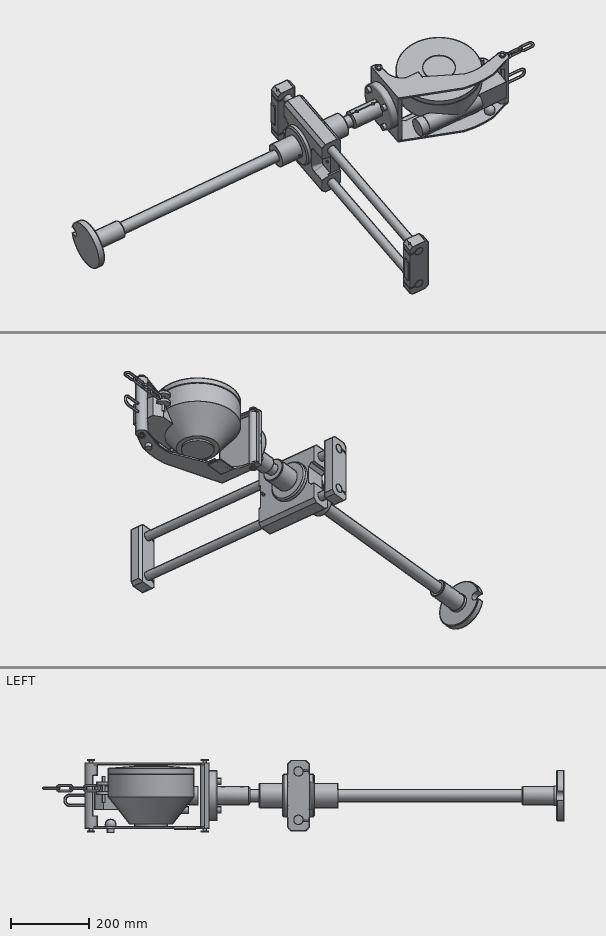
import cadquery as cq


SHAFT_R = 16
SHAFT_TOP = 180
FOOT_END = -679.65
FOOT_R = 64.5
FOOT_T = 18
FOOT_EDGE_CHAMFER = 2
FOOT_SLOT_W = 24
FOOT_SLOT_X = -55
FOOT_COLLAR_R = 23.5
FOOT_COLLAR_TOP = -573
FOOT_COLLAR_CHAMFER = 2
FOOT_RING_R = 25
FOOT_RING_TOP = -654

FRAME_X0 = -136.5
FRAME_LENGTH = 660
ROD_R = 12
ROD_Z = 62
ROD_END_RECESS = 1
CLAMP_W = 31
CLAMP_DEPTH = 56
CLAMP_H = 180
CLAMP_CHAMFER = 9
CLAMP_INNER_CHAMFER = 7
CLAMP_SLIT_T = 4
CLAMP_SLIT_Z = 64
CLAMP_SCREW_R = 3
CLAMP_SCREW_Y = -19
PAD_W = 17
PAD_H = 70
PAD_T = 4
PAD_INSET = 3

BLOCK_X0 = -76
BLOCK_X1 = 105
BLOCK_DEPTH = 56
BLOCK_H = 180
BLOCK_CHAMFER = 10
FLANGE_R = 55
FLANGE_T = 13
FLANGE_CHAMFER = 4
BUSH_R = 31.5
BUSH_END = 101
BUSH_CHAMFER = 2
NIPPLE_Y = 50
NIPPLE_R = 3
NIPPLE_TIP = 36
NOTCH_DEPTH = 18
NOTCH_H = 68
NOTCH_CHAMFER = 9
POCKET_X0 = 55
POCKET_OVERRUN = 40
POCKET_H = 82
POCKET_TAPER = 16
POCKET_DEPTH = 28
POCKET_R = 12
RECESS_W = 5
RECESS_H = 70
STUD_X = 88
STUD_R = 3
STUD_START = -3
STUD_TIP = 37

PLATE_T = 5
PLATE_Z = 84
BASE_Y = 229
BASE_T = 11
BASE_HALF_W = 64.5
PIVOT_X = -46
PIVOT_Y = 240
PIVOT_R = 11
POST_X = 87
POST_Y = 531
POST_R = 16
POST_NOTCH_HALF_H = 52
POST_NOTCH_DEPTH = 12

ARM_CORNER_MID = (-59, 247)
ARM_CORNER_END = (-50, 250)
ARM_FOOT_START = (-21, 252)
ARM_FOOT_MID = (0, 262)
ARM_FOOT_END = (16, 284)
ARM_STEP_X = 36
ARM_STEP_Y = 321
ARM_INNER_START = (85, 416)
ARM_INNER_MID = (89, 447)
ARM_INNER_END = (85, 476)
ARM_OUTER_START = (125, 479)
ARM_OUTER_MID = (129, 430)
ARM_OUTER_END = (125, 390)

BOLT_STEM_R = 5
BOLT_HEAD_R = 9
BOLT_TIP = 93
BOLT_HEAD_T = 2.5
DISC_R = 64
DISC_T = 21
DISC_FILLET = 3
SCREW_OFFSET = 36.5
SCREW_R = 8.5
SCREW_H = 10
SOCKET_R = 23.5
SOCKET_END = 124
SOCKET_CHAMFER = 4
SOCKET_SLIT_W = 2
PINCH_HOLES_Y = (193, 144)
PINCH_HOLE_R = 4
KNOB_X = 105
KNOB_Y = 481
KNOB_R = 14
KNOB_BUTTON_R = 9
KNOB_CENTRE_Z = -74.5
KNOB_BOTTOM = -95
UNDER_PAD_W = 40
UNDER_PAD_L = 54
UNDER_PAD_T = 3
UNDER_PAD_CENTRE = (20, 291)
SHACKLE_TIP = 601
SHACKLE_WIRE_R = 3
SHACKLE_HALF_W = 13
SHACKLE_Z = -12

REEL_X = 26
REEL_Y = 377.5
REEL_R = 110
REEL_HUB_R = 42
REEL_CONE_R = 55
REEL_FOOT_R = 42
REEL_COVER_SEAM_Z = 54
REEL_SEAM_W = 1.5
REEL_SEAM_DEPTH = 1
REEL_TOP_Z = 70
REEL_COVER_TOP_Z = 75
REEL_HUB_Z = 77
REEL_SHOULDER_Z = -3
REEL_CONE_Z = -73
HOUSING_X0 = 57
HOUSING_X1 = 121
HOUSING_Y1 = 522
HOUSING_Z0 = -36
HOUSING_Z1 = 25
PIPE_X = 113.5
PIPE_R = 23
PIPE_Y0 = 257
PIPE_Y1 = 440
PIPE_CAP_R = 24
PIPE_CAP_H = 22
STUB_X = 108
STUB_Y0 = 281
STUB_R = 9
STUB_Z = -37
LUG_X = 41.5
LUG_Y = 499
LUG_R = 18
LUG_Z0 = 3
LUG_Z1 = 35
LUG_GAP = 16
LUG_PIN_R = 4
LUG_PIN_Z0 = -17
LUG_PIN_Z1 = 49

CHAIN_Z = 19
OVERALL_LENGTH = 1334.65
CHAIN_TIP = FOOT_END + OVERALL_LENGTH
LINK_COUNT = 4
LINK_LENGTH = 44
LINK_W = 20
LINK_WIRE_R = 2.75
LINK_BITE = 1.5


def cylinder_x(radius, x0, x1, y=0, z=0):
    return cq.Workplane("YZ", origin=(x0, y, z)).circle(radius).extrude(x1 - x0)


def cylinder_y(radius, y0, y1, x=0, z=0):
    return cq.Workplane("XZ", origin=(x, y0, z)).circle(radius).extrude(y0 - y1)


def cylinder_z(radius, z0, z1, x=0, y=0):
    return cq.Workplane("XY", origin=(x, y, z0)).circle(radius).extrude(z1 - z0)


def box(x0, x1, y0, y1, z0, z1):
    return cq.Workplane("XY").box(x1 - x0, y1 - y0, z1 - z0, centered=False).translate((x0, y0, z0))


def make_shaft():
    disc_top = FOOT_END + FOOT_T
    shaft = cylinder_y(SHAFT_R, FOOT_END, SHAFT_TOP)
    collar = cylinder_y(FOOT_COLLAR_R, FOOT_END, FOOT_COLLAR_TOP).faces(">Y").chamfer(FOOT_COLLAR_CHAMFER)
    disc = cylinder_y(FOOT_R, FOOT_END, disc_top).faces(">Y").chamfer(FOOT_EDGE_CHAMFER)
    slot = cylinder_y(FOOT_SLOT_W / 2, FOOT_END, disc_top, x=FOOT_SLOT_X)
    slot = slot.union(
        box(-FOOT_R, FOOT_SLOT_X, FOOT_END, disc_top, -FOOT_SLOT_W / 2, FOOT_SLOT_W / 2)
    )
    ring = cylinder_y(FOOT_RING_R, FOOT_END, FOOT_RING_TOP)
    return disc.cut(slot).union(ring).union(collar).union(shaft)


def make_clamp():
    """End clamp at the -X end of the rods."""
    outer_x = FRAME_X0
    inner_x = outer_x + CLAMP_W
    front_y = -CLAMP_DEPTH / 2
    clamp = box(outer_x, inner_x, front_y, -front_y, -CLAMP_H / 2, CLAMP_H / 2)
    clamp = clamp.edges("|X").chamfer(CLAMP_CHAMFER)
    clamp = clamp.edges("|Z and >X and >Y").chamfer(CLAMP_INNER_CHAMFER)
    for side in (1, -1):
        slit_z = side * CLAMP_SLIT_Z
        slit = box(outer_x, inner_x, front_y, 0, slit_z - CLAMP_SLIT_T / 2, slit_z + CLAMP_SLIT_T / 2)
        screw_hole = cylinder_z(
            CLAMP_SCREW_R, slit_z, side * CLAMP_H / 2, outer_x + CLAMP_W / 2, CLAMP_SCREW_Y
        )
        clamp = clamp.cut(slit).cut(screw_hole)
    pad_x = outer_x + PAD_INSET
    pad = box(pad_x, pad_x + PAD_W, front_y - PAD_T, front_y, -PAD_H / 2, PAD_H / 2)
    return clamp.union(pad)


def make_frame():
    frame_x1 = FRAME_X0 + FRAME_LENGTH
    clamp = make_clamp()
    frame = clamp.union(clamp.mirror("YZ").translate((FRAME_X0 + frame_x1, 0, 0)))
    for side in (1, -1):
        rod_z = side * ROD_Z
        frame = frame.cut(cylinder_x(ROD_R, FRAME_X0, frame_x1, z=rod_z))
        rod = cylinder_x(ROD_R, FRAME_X0 + ROD_END_RECESS, frame_x1 - ROD_END_RECESS, z=rod_z)
        frame = frame.union(rod)
    return frame


def make_carriage():
    face_y = BLOCK_DEPTH / 2
    block = box(BLOCK_X0, BLOCK_X1, -face_y, face_y, -BLOCK_H / 2, BLOCK_H / 2)
    block = block.edges("|X").chamfer(BLOCK_CHAMFER)

    notch_x1 = BLOCK_X0 + NOTCH_DEPTH
    notch = box(BLOCK_X0, notch_x1, -face_y, face_y, -NOTCH_H / 2, NOTCH_H / 2)
    notch = notch.edges("|Y and >X").chamfer(NOTCH_CHAMFER)

    pocket_length = BLOCK_X1 - POCKET_X0 + POCKET_OVERRUN
    pocket = (
        cq.Workplane("XZ", origin=(POCKET_X0 + pocket_length / 2, -face_y, 0))
        .sketch()
        .rect(pocket_length, POCKET_H)
        .vertices()
        .fillet(POCKET_R)
        .finalize()
        .extrude(-POCKET_DEPTH, taper=POCKET_TAPER)
    )
    recess = box(BLOCK_X1 - RECESS_W, BLOCK_X1, -face_y, face_y, -RECESS_H / 2, RECESS_H / 2)
    carriage = block.cut(notch).cut(pocket).cut(recess)
    carriage = carriage.union(cylinder_y(STUD_R, STUD_START, STUD_TIP, x=STUD_X))

    flange_y = face_y + FLANGE_T
    flange = cylinder_y(FLANGE_R, -flange_y, flange_y).faces("<Y or >Y").chamfer(FLANGE_CHAMFER)
    bush = cylinder_y(BUSH_R, -BUSH_END, BUSH_END).faces(">Y").chamfer(BUSH_CHAMFER)
    carriage = carriage.union(flange).union(bush)
    for y in (-NIPPLE_Y, NIPPLE_Y):
        carriage = carriage.union(cylinder_x(NIPPLE_R, 0, NIPPLE_TIP, y=y))

    carriage = carriage.cut(cylinder_y(SHAFT_R, -BUSH_END, BUSH_END))
    for side in (1, -1):
        carriage = carriage.cut(cylinder_x(ROD_R, BLOCK_X0, BLOCK_X1, z=side * ROD_Z))
    return carriage


def make_side_plate():
    """Curved arm plate whose lower face is at Z = 0."""
    outline = (
        cq.Workplane("XY")
        .moveTo(-BASE_HALF_W, BASE_Y)
        .lineTo(-BASE_HALF_W, PIVOT_Y)
        .threePointArc(ARM_CORNER_MID, ARM_CORNER_END)
        .lineTo(*ARM_FOOT_START)
        .threePointArc(ARM_FOOT_MID, ARM_FOOT_END)
        .lineTo(ARM_FOOT_END[0], ARM_STEP_Y)
        .lineTo(ARM_STEP_X, ARM_STEP_Y)
        .lineTo(*ARM_INNER_START)
        .threePointArc(ARM_INNER_MID, ARM_INNER_END)
        .lineTo(POST_X - POST_R, POST_Y)
        .threePointArc((POST_X, POST_Y + POST_R), (POST_X + POST_R, POST_Y))
        .lineTo(*ARM_OUTER_START)
        .threePointArc(ARM_OUTER_MID, ARM_OUTER_END)
        .lineTo(BASE_HALF_W, BASE_Y)
        .close()
    )
    return outline.extrude(PLATE_T)


def make_through_bolt(x, y):
    """Bolt with a flat head beyond each side plate."""
    bolt = cylinder_z(BOLT_STEM_R, -BOLT_TIP, BOLT_TIP, x, y)
    for z0 in (-BOLT_TIP, BOLT_TIP - BOLT_HEAD_T):
        bolt = bolt.union(cylinder_z(BOLT_HEAD_R, z0, z0 + BOLT_HEAD_T, x, y))
    return bolt


def make_post():
    """Rear spacer post, cut back between its two ends."""
    post = cylinder_z(POST_R, -PLATE_Z, PLATE_Z, POST_X, POST_Y)
    notch = box(
        POST_X - POST_R,
        POST_X + POST_R,
        POST_Y - POST_R,
        POST_Y - POST_R + POST_NOTCH_DEPTH,
        -POST_NOTCH_HALF_H,
        POST_NOTCH_HALF_H,
    )
    return post.cut(notch)


def make_shackle():
    """U-shaped wire that starts inside the rear post."""
    arc_y = SHACKLE_TIP - SHACKLE_WIRE_R - SHACKLE_HALF_W
    path = (
        cq.Workplane("YZ", origin=(POST_X, 0, 0))
        .moveTo(POST_Y, SHACKLE_Z + SHACKLE_HALF_W)
        .lineTo(arc_y, SHACKLE_Z + SHACKLE_HALF_W)
        .threePointArc((arc_y + SHACKLE_HALF_W, SHACKLE_Z), (arc_y, SHACKLE_Z - SHACKLE_HALF_W))
        .lineTo(POST_Y, SHACKLE_Z - SHACKLE_HALF_W)
    )
    profile = cq.Workplane("XZ", origin=(POST_X, POST_Y, SHACKLE_Z + SHACKLE_HALF_W))
    return profile.circle(SHACKLE_WIRE_R).sweep(path)


def make_shaft_socket():
    """Disc, screws and split socket that hold the shaft, below the base plate."""
    disc_y = BASE_Y - DISC_T
    socket = cylinder_y(DISC_R, disc_y, BASE_Y).faces("<Y").edges().fillet(DISC_FILLET)
    for x in (-SCREW_OFFSET, SCREW_OFFSET):
        for z in (-SCREW_OFFSET, SCREW_OFFSET):
            socket = socket.union(cylinder_y(SCREW_R, disc_y - SCREW_H, disc_y, x, z))
    sleeve = cylinder_y(SOCKET_R, SOCKET_END, disc_y).faces("<Y").chamfer(SOCKET_CHAMFER)
    slit = box(-SOCKET_SLIT_W / 2, SOCKET_SLIT_W / 2, SOCKET_END, disc_y, 0, SOCKET_R)
    sleeve = sleeve.cut(slit)
    for y in PINCH_HOLES_Y:
        sleeve = sleeve.cut(cylinder_z(PINCH_HOLE_R, 0, SOCKET_R, 0, y))
    return socket.union(sleeve).cut(cylinder_y(SHAFT_R, SOCKET_END, SHAFT_TOP))


def make_bracket():
    plate = make_side_plate()
    base = box(-BASE_HALF_W, BASE_HALF_W, BASE_Y, BASE_Y + BASE_T, -PLATE_Z, PLATE_Z)
    bracket = base.union(plate.translate((0, 0, PLATE_Z - PLATE_T)))
    bracket = bracket.union(plate.translate((0, 0, -PLATE_Z)))
    bracket = bracket.union(cylinder_z(PIVOT_R, -PLATE_Z, PLATE_Z, PIVOT_X, PIVOT_Y))
    bracket = bracket.union(make_post())
    for x, y in ((PIVOT_X, PIVOT_Y), (POST_X, POST_Y)):
        bracket = bracket.union(make_through_bolt(x, y))

    dome = cq.Workplane("XY").sphere(KNOB_R).translate((KNOB_X, KNOB_Y, KNOB_CENTRE_Z))
    dome = dome.intersect(
        box(KNOB_X - KNOB_R, KNOB_X + KNOB_R, KNOB_Y - KNOB_R, KNOB_Y + KNOB_R, -PLATE_Z, 0)
    )
    bracket = bracket.union(dome)
    bracket = bracket.union(cylinder_z(KNOB_BUTTON_R, KNOB_BOTTOM, -PLATE_Z, KNOB_X, KNOB_Y))
    pad = cq.Workplane("XY").box(UNDER_PAD_W, UNDER_PAD_L, UNDER_PAD_T)
    bracket = bracket.union(pad.translate((*UNDER_PAD_CENTRE, -PLATE_Z - UNDER_PAD_T / 2)))

    return bracket.union(make_shackle()).union(make_shaft_socket())


def make_link():
    """Chain link in the XY plane, long in Y, centred on the origin."""
    bend_r = LINK_W / 2 - LINK_WIRE_R
    straight = LINK_LENGTH / 2 - LINK_W / 2
    path = (
        cq.Workplane("XY")
        .moveTo(bend_r, -straight)
        .lineTo(bend_r, straight)
        .threePointArc((0, straight + bend_r), (-bend_r, straight))
        .lineTo(-bend_r, -straight)
        .threePointArc((0, -straight - bend_r), (bend_r, -straight))
        .close()
    )
    return cq.Workplane("XZ", origin=(bend_r, -straight, 0)).circle(LINK_WIRE_R).sweep(path)


def make_chain():
    """Links turned by 90 degrees in turn; each bites slightly into the next."""
    pitch = LINK_LENGTH - 4 * LINK_WIRE_R + LINK_BITE
    link = make_link()
    chain = None
    for i in range(LINK_COUNT):
        turned = link.rotate((0, 0, 0), (0, 1, 0), 90 * (i % 2))
        placed = turned.translate((LUG_X, CHAIN_TIP - LINK_LENGTH / 2 - i * pitch, CHAIN_Z))
        chain = placed if chain is None else chain.union(placed)
    return chain


def make_reel():
    profile = [
        (0, PLATE_T - PLATE_Z),
        (REEL_FOOT_R, PLATE_T - PLATE_Z),
        (REEL_FOOT_R, REEL_CONE_Z),
        (REEL_CONE_R, REEL_CONE_Z),
        (REEL_R, REEL_SHOULDER_Z),
        (REEL_R, REEL_TOP_Z),
        (REEL_HUB_R, REEL_COVER_TOP_Z),
        (REEL_HUB_R, REEL_HUB_Z),
        (0, REEL_HUB_Z),
    ]
    drum = cq.Workplane("XZ").polyline(profile).close().revolve(360, (0, 0), (0, 1))
    seam = cylinder_z(REEL_R, REEL_COVER_SEAM_Z, REEL_COVER_SEAM_Z + REEL_SEAM_W)
    seam = seam.cut(
        cylinder_z(REEL_R - REEL_SEAM_DEPTH, REEL_COVER_SEAM_Z, REEL_COVER_SEAM_Z + REEL_SEAM_W)
    )
    reel = drum.cut(seam).translate((REEL_X, REEL_Y, 0))

    housing = (
        cq.Workplane("XY", origin=(0, 0, HOUSING_Z0))
        .moveTo(LUG_X, REEL_Y)
        .lineTo(LUG_X, LUG_Y)
        .lineTo(HOUSING_X0, HOUSING_Y1)
        .lineTo(HOUSING_X1, HOUSING_Y1)
        .lineTo(HOUSING_X1, REEL_Y)
        .close()
        .extrude(HOUSING_Z1 - HOUSING_Z0)
    )
    reel = reel.union(housing)
    reel = reel.union(cylinder_y(PIPE_R, PIPE_Y0, PIPE_Y1, PIPE_X))
    reel = reel.union(cylinder_y(PIPE_CAP_R, PIPE_Y0, PIPE_Y0 + PIPE_CAP_H, PIPE_X))
    reel = reel.union(cylinder_y(STUB_R, STUB_Y0, REEL_Y, STUB_X, STUB_Z))

    lug = cylinder_z(LUG_R, LUG_Z0, LUG_Z1, LUG_X, LUG_Y)
    gap_z = (LUG_Z0 + LUG_Z1 - LUG_GAP) / 2
    lug = lug.cut(cylinder_z(LUG_R, gap_z, gap_z + LUG_GAP, LUG_X, LUG_Y))
    pin = cylinder_z(LUG_PIN_R, LUG_PIN_Z0, LUG_PIN_Z1, LUG_X, LUG_Y)
    return reel.union(lug).union(pin).union(make_chain())


shaft = make_shaft()
frame = make_frame()
carriage = make_carriage()
bracket = make_bracket()
reel = make_reel()

result = cq.Compound.makeCompound(
    [shaft.val(), frame.val(), carriage.val(), bracket.val(), reel.val()]
)